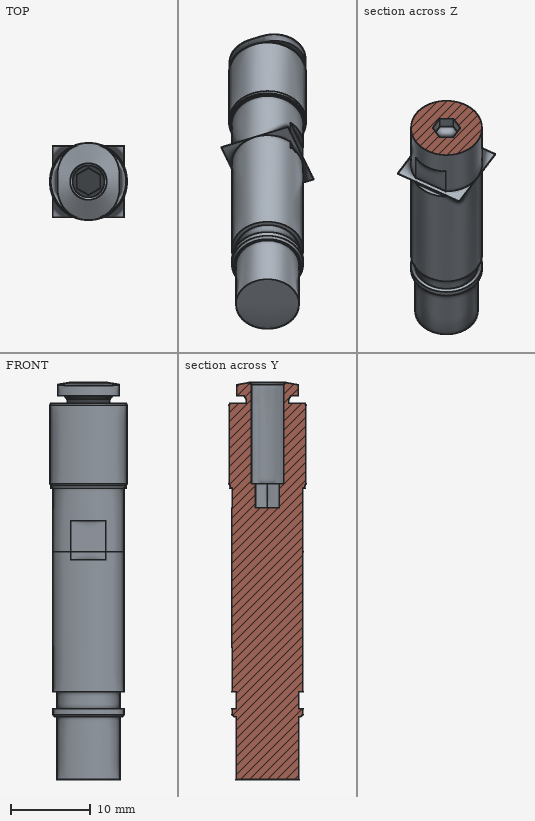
import cadquery as cq
import math

overall_height = 50.15

tube_diameter = 7.95
tube_radius = tube_diameter / 2
flange_radius = 4.5
flange_chamfer = 0.3
flange_bottom = 7.9
flange_top = 9.0

body_radius = flange_radius
body_bottom = 11.1
flat_bottom = 27.75
flat_top = 32.7
across_flats = 7.85
flat_distance = across_flats / 2

plate_side = 2 * body_radius
plate_height = 28.8
plate_thickness = 0.025

collar_radius = 4.89
collar_end_radius = 4.74
collar_ring_bottom = 36.8
collar_ring_top = 37.1
collar_bottom = 37.35
collar_top = 47.55
collar_top_chamfer = 0.3

neck_radius = 2.7
neck_flare_radius = 3.0
neck_flare_bottom = 48.0

cap_length = 2 * collar_radius
cap_width = 7.75
cap_bottom = 48.45
cap_edge_drop = 0.45

bore_radius = 2.0
bore_mouth_radius = 2.3
bore_mouth_depth = 0.3
bore_floor = collar_bottom
socket_across_flats = 2.95
socket_across_corners = socket_across_flats / math.cos(math.pi / 6)
socket_depth = 3.0


def revolve_about_z(profile):
    """Revolve a closed outline of (radius, height) points about the Z axis."""
    return cq.Workplane("XZ").polyline(profile).close().revolve(360, (0, 0, 0), (0, 1, 0))


def make_stem():
    """Turned stem from the tube end up to the underside of the cap."""
    return revolve_about_z([
        (0, 0),
        (tube_radius, 0),
        (tube_radius, flange_bottom),
        (flange_radius - flange_chamfer, flange_bottom),
        (flange_radius, flange_bottom + flange_chamfer),
        (flange_radius, flange_top),
        (tube_radius, flange_top),
        (tube_radius, body_bottom),
        (body_radius, body_bottom),
        (body_radius, collar_ring_bottom),
        (collar_end_radius, collar_ring_bottom),
        (collar_end_radius, collar_ring_top),
        (collar_radius, collar_bottom),
        (collar_radius, collar_top - collar_top_chamfer),
        (collar_end_radius, collar_top),
        (neck_radius, collar_top),
        (neck_radius, neck_flare_bottom),
        (neck_flare_radius, cap_bottom),
        (0, cap_bottom),
    ])


def make_cap():
    """Oblong cap, long along Y, whose top falls away conically from the bore mouth."""
    oblong = (
        cq.Workplane("XY", origin=(0, 0, cap_bottom))
        .slot2D(cap_length, cap_width, 90)
        .extrude(overall_height - cap_bottom)
    )
    cone = revolve_about_z([
        (0, cap_bottom),
        (cap_length / 2, cap_bottom),
        (cap_length / 2, overall_height - cap_edge_drop),
        (bore_mouth_radius, overall_height),
        (0, overall_height),
    ])
    return oblong.intersect(cone)


def make_bore():
    """Countersunk bore and the blind hexagonal socket below it."""
    bore = revolve_about_z([
        (0, bore_floor),
        (bore_radius, bore_floor),
        (bore_radius, overall_height - bore_mouth_depth),
        (bore_mouth_radius, overall_height),
        (0, overall_height),
    ])
    socket = (
        cq.Workplane("XY", origin=(0, 0, bore_floor))
        .transformed(rotate=(0, 0, 90))
        .polygon(6, socket_across_corners)
        .extrude(-socket_depth)
    )
    return bore.union(socket)


def cut_flats(part):
    """Cut a wrench flat into the body on the -Y and +Y sides."""
    cut_depth = body_radius - flat_distance
    for side in (-1, 1):
        cutter = cq.Workplane("XY").box(2 * body_radius, cut_depth, flat_top - flat_bottom).translate(
            (0, side * (flat_distance + cut_depth / 2), (flat_bottom + flat_top) / 2)
        )
        part = part.cut(cutter)
    return part


def make_plate():
    """Thin square plate centred on the body axis."""
    return cq.Workplane("XY").box(plate_side, plate_side, plate_thickness).translate((0, 0, plate_height))


result = cut_flats(make_stem()).union(make_plate()).union(make_cap()).cut(make_bore())